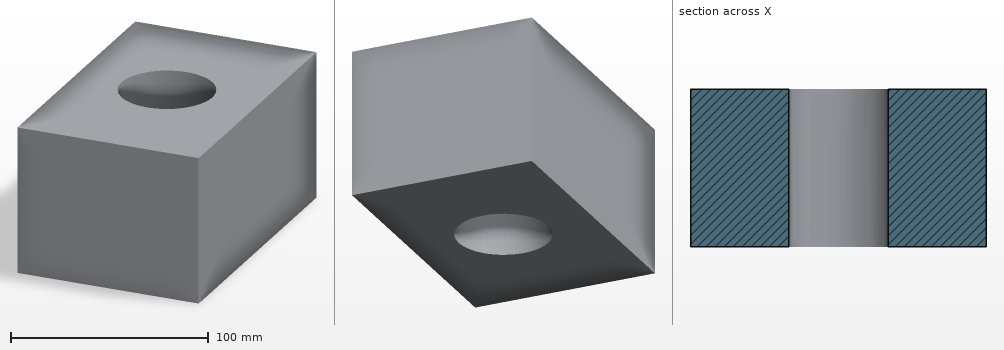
import cadquery as cq

width = 100.0
length = 150.0
height = 80.0

bore_diameter = 50.0

block = cq.Workplane("XY").box(width, length, height)

result = block.faces(">Z").workplane().hole(bore_diameter)